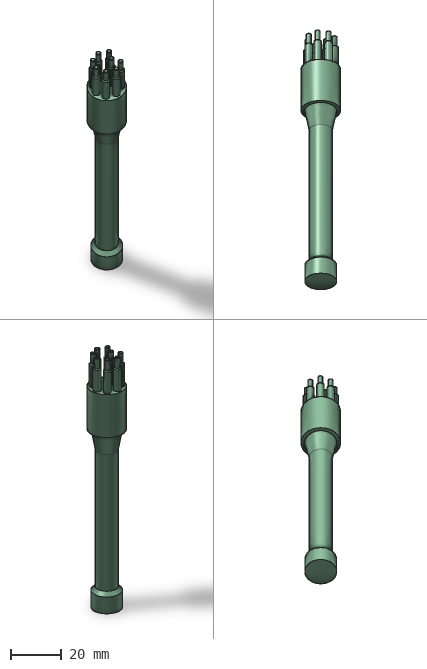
import cadquery as cq
import math

total_length = 111.5

collar_diameter = 12.5
collar_height = 7.4
shoulder_height = 1.7

shaft_diameter = 9.0

shell_diameter = 15.5
shell_length = 18.8
taper_diameter = collar_diameter
taper_length = 9.0

pin_diameter = 3.0
pin_tip_diameter = 2.0
pin_length = 14.5
pin_shoulder_height = 9.5
pin_shoulder_rise = 0.5
pin_tip_chamfer = 0.28
pin_circle_radius = 5.5
ring_pin_count = 7
ring_pin_step_angle = 46.6
inner_pin_offset = 2.5

shoulder_top = collar_height + shoulder_height
shell_top = total_length - pin_length
shell_bottom = shell_top - shell_length
taper_bottom = shell_bottom - taper_length


def make_body():
    """Collar, shaft, taper and shell as one revolved solid."""
    collar_radius = collar_diameter / 2
    shaft_radius = shaft_diameter / 2
    taper_radius = taper_diameter / 2
    shell_radius = shell_diameter / 2
    half_profile = [
        (0, 0),
        (collar_radius, 0),
        (collar_radius, collar_height),
        (shaft_radius, shoulder_top),
        (shaft_radius, taper_bottom),
        (taper_radius, shell_bottom),
        (shell_radius, shell_bottom),
        (shell_radius, shell_top),
        (0, shell_top),
    ]
    return cq.Workplane("XZ").polyline(half_profile).close().revolve(360, (0, 0), (0, 1))


def pin_positions():
    """One inner pin on the +Y side and a ring of pins centred on the -Y direction."""
    middle_index = (ring_pin_count - 1) / 2
    positions = [(0, inner_pin_offset)]
    for index in range(ring_pin_count):
        angle = math.radians(-90 + (index - middle_index) * ring_pin_step_angle)
        x = pin_circle_radius * math.cos(angle)
        y = pin_circle_radius * math.sin(angle)
        positions.append((x, y))
    return positions


def make_pin():
    """One pin standing on the origin, with a conical shoulder and a chamfered narrower tip."""
    tip_radius = pin_tip_diameter / 2
    pin_radius = pin_diameter / 2
    half_profile = [
        (0, 0),
        (pin_radius, 0),
        (pin_radius, pin_shoulder_height),
        (tip_radius, pin_shoulder_height + pin_shoulder_rise),
        (tip_radius, pin_length - pin_tip_chamfer),
        (tip_radius - pin_tip_chamfer, pin_length),
        (0, pin_length),
    ]
    return cq.Workplane("XZ").polyline(half_profile).close().revolve(360, (0, 0), (0, 1))


result = make_body()
pin = make_pin()
for x, y in pin_positions():
    result = result.union(pin.translate((x, y, shell_top)))